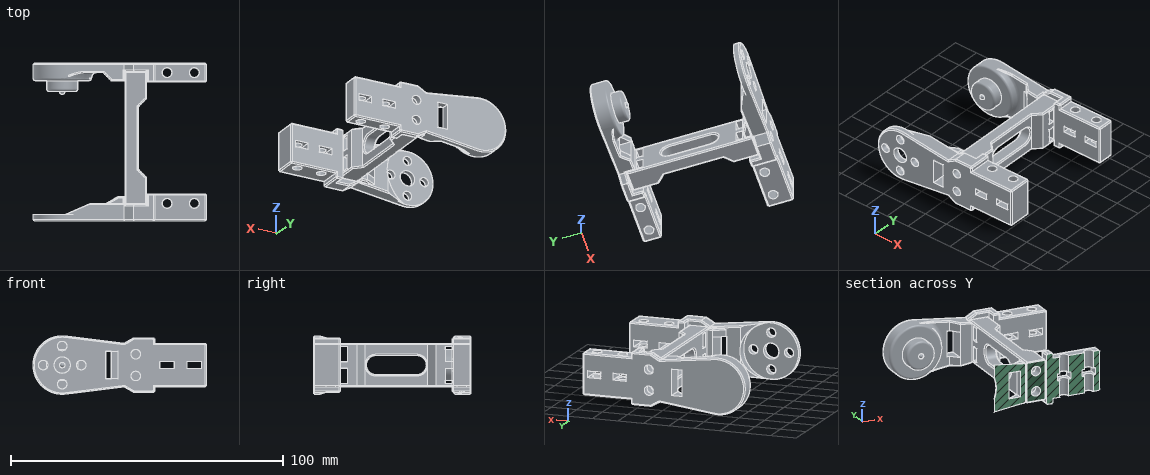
import cadquery as cq
import math

OVERALL_WIDTH = 58.0
OUTER_Y = OVERALL_WIDTH / 2
EDGE_CHAMFER = 0.5
SCREW_DIA = 3.5
NUT_THICKNESS = 2.5
TOLERANCE = 1e-6

PIVOT_RADIUS = 10.75
NECK_X = 22.75
NECK_HALF_HEIGHT = 8.0
SHOULDER_HALF_HEIGHT = 10.0
SHOULDER_ANGLE = 30.0
SHOULDER_END_X = 34.0
TAIL_END_X = 53.0
SHOULDER_RISE = SHOULDER_HALF_HEIGHT - NECK_HALF_HEIGHT
SHOULDER_START_X = NECK_X + SHOULDER_RISE / math.tan(math.radians(SHOULDER_ANGLE))

NECK_DISTANCE = math.hypot(NECK_X, NECK_HALF_HEIGHT)
FLANK_ANGLE = math.atan2(NECK_HALF_HEIGHT, NECK_X) + math.acos(PIVOT_RADIUS / NECK_DISTANCE)
FLANK_START_X = PIVOT_RADIUS * math.cos(FLANK_ANGLE)
FLANK_START_Z = PIVOT_RADIUS * math.sin(FLANK_ANGLE)
FLANK_TILT = math.pi / 2 - FLANK_ANGLE

FRONT_PLATE = 2.5
FRONT_WEB = 6.5
FRONT_BLOCK = 9.0
FRONT_FLOOR = 6.0
FRONT_TAIL = 10.0
BACK_WEB = 3.5
BACK_BLOCK = 6.5
BACK_FLOOR = 3.0
BACK_TAIL = 7.0

FRONT_RAMP_START_X = 1.3
FRONT_RAMP_END_X = 10.5
FRONT_BEVEL_ANGLE = 30.0
FRONT_BEVEL_END_X = 20.5
FRONT_BEVEL_RUN = (FRONT_BLOCK - FRONT_WEB) / math.tan(math.radians(FRONT_BEVEL_ANGLE))
FRONT_BEVEL_START_X = FRONT_BEVEL_END_X - FRONT_BEVEL_RUN
BACK_BEVEL_END_X = 18.0
BACK_BEVEL_START_X = BACK_BEVEL_END_X - (BACK_BLOCK - BACK_WEB)
FRONT_WINDOW_LENGTH = 4.5
BACK_WINDOW_LENGTH = 4.0
WINDOW_HEIGHT = 10.0
TAIL_SCREW_X = (38.5, 48.5)
TAIL_SCREW_INSET = 3.5
TAIL_NUT_WIDTH = 5.25

PIVOT_BORE_DIA = 6.0
HORN_SCREW_COUNT = 4
HORN_SCREW_RADIUS = 7.0
ROUNDING = 1.0
BOSS_DIA = 11.5
BOSS_LENGTH = 4.0
NUB_RADIUS = 1.0
CHAMFER_FADE_GAP = 0.05

POCKET_CLEARANCE = 0.25
BAR_START_X = NECK_X + POCKET_CLEARANCE
BAR_WIDTH = 8.0
BAR_WAIST_WIDTH = 5.0
BAR_HEIGHT = 2 * NECK_HALF_HEIGHT
BAR_END_X = BAR_START_X + BAR_WIDTH
BAR_FRONT_Y = FRONT_FLOOR - OUTER_Y
BAR_BACK_Y = OUTER_Y - BACK_FLOOR
BAR_MIDDLE_Y = (BAR_FRONT_Y + BAR_BACK_Y) / 2
BAR_HALF_LENGTH = (BAR_BACK_Y - BAR_FRONT_Y) / 2
BAR_WAIST_HALF_LENGTH = 11.5
BAR_OPENING_LENGTH = 22.0
BAR_OPENING_HEIGHT = 7.0
BAR_NUT_DEPTH = 4.0
BAR_NUT_WIDTH = 5.5
BAR_SCREWS = [(BAR_START_X + BAR_WIDTH / 2, z) for z in (-4.0, 4.0)]
POCKET_END_X = BAR_END_X + POCKET_CLEARANCE


def plan_prism(points, height=4 * PIVOT_RADIUS):
    """Upright prism on a plan outline of (X, Y) points, centred on the mid-plane."""
    return cq.Workplane("XY").polyline(points).close().extrude(height / 2, both=True)


def chamfer_where(body, wanted):
    """Chamfer every straight edge for which wanted(start, end) is true."""
    edges = [e for e in body.edges("%LINE").vals() if wanted(e.startPoint(), e.endPoint())]
    return body.newObject(edges).chamfer(EDGE_CHAMFER)


def on_one_flank(start, end):
    """True for an edge that stays above or below the mid-plane."""
    return start.z * end.z > 0



def root_blank(depth):
    """Round pivot end with straight flanks up to the neck."""
    return (
        cq.Workplane("XZ")
        .moveTo(FLANK_START_X, -FLANK_START_Z)
        .threePointArc((-PIVOT_RADIUS, 0), (FLANK_START_X, FLANK_START_Z))
        .lineTo(NECK_X, NECK_HALF_HEIGHT)
        .lineTo(NECK_X, -NECK_HALF_HEIGHT)
        .close()
        .extrude(-depth)
    )


def socket(floor, tail):
    """Shoulder and tail: everything beyond the neck, with the pocket for the bar end."""
    upper = [
        (NECK_X, NECK_HALF_HEIGHT),
        (SHOULDER_START_X, SHOULDER_HALF_HEIGHT),
        (SHOULDER_END_X, SHOULDER_HALF_HEIGHT),
        (SHOULDER_END_X, NECK_HALF_HEIGHT),
        (TAIL_END_X, NECK_HALF_HEIGHT),
    ]
    lower = [(x, -z) for x, z in reversed(upper)]
    outline = cq.Workplane("XZ").polyline(upper + lower).close().extrude(-tail)
    body = outline.intersect(plan_prism([
        (NECK_X, 0),
        (NECK_X, floor),
        (POCKET_END_X, floor),
        (POCKET_END_X, tail),
        (TAIL_END_X, tail),
        (TAIL_END_X, 0),
    ]))

    def is_rim(start, end):
        at_tail_end = min(start.x, end.x) > TAIL_END_X - TOLERANCE
        if min(start.y, end.y) > TOLERANCE:
            beyond_neck = max(start.x, end.x) > NECK_X + TOLERANCE
            return at_tail_end or (beyond_neck and on_one_flank(start, end))
        runs_inward = abs(start.y - end.y) > TOLERANCE
        raised = abs(start.z) > NECK_HALF_HEIGHT + TOLERANCE
        at_shoulder_end = raised and start.x > SHOULDER_END_X - TOLERANCE
        return runs_inward and (at_tail_end or at_shoulder_end)

    return chamfer_where(body, is_rim)


def join_root_and_socket(root, socket_body):
    """One arm with its outer face chamfered all around."""
    return root.union(socket_body).faces("<Y").edges().chamfer(EDGE_CHAMFER)


def cut_openings(arm, depth, window_end_x, window_length):
    """Window, bar screw holes, and the tail's screw holes with their nut windows."""
    window_x = window_end_x - window_length / 2
    nuts = [(x, 0) for x in TAIL_SCREW_X]
    window = cq.Workplane("XZ").center(window_x, 0).rect(window_length, WINDOW_HEIGHT)
    bar_screws = cq.Workplane("XZ").pushPoints(BAR_SCREWS).circle(SCREW_DIA / 2)
    nut_windows = cq.Workplane("XZ").pushPoints(nuts).rect(TAIL_NUT_WIDTH, NUT_THICKNESS)
    for opening in (window, bar_screws, nut_windows):
        arm = arm.cut(opening.extrude(-depth))
    tail_screws = (
        cq.Workplane("XY")
        .pushPoints([(x, depth - TAIL_SCREW_INSET) for x in TAIL_SCREW_X])
        .circle(SCREW_DIA / 2)
        .extrude(SHOULDER_HALF_HEIGHT, both=True)
    )
    return arm.cut(tail_screws)



def front_root():
    root = root_blank(FRONT_WEB).intersect(plan_prism([
        (-PIVOT_RADIUS - 1, 0),
        (-PIVOT_RADIUS - 1, FRONT_PLATE),
        (FRONT_RAMP_START_X, FRONT_PLATE),
        (FRONT_RAMP_END_X, FRONT_WEB),
        (NECK_X, FRONT_WEB),
        (NECK_X, 0),
    ]))

    def is_web_rim(start, end):
        return on_one_flank(start, end) and min(start.y, end.y) > FRONT_WEB - TOLERANCE

    disc_clearance = (
        cq.Workplane("XZ", origin=(0, FRONT_PLATE, 0)).circle(PIVOT_RADIUS).extrude(-FRONT_WEB)
    )
    return chamfer_where(root, is_web_rim).cut(disc_clearance)


def front_block():
    """Bevelled step on the inside of the web that backs the bar, as tall as the bar."""
    block = plan_prism([
        (FRONT_BEVEL_START_X, FRONT_WEB),
        (FRONT_BEVEL_END_X, FRONT_BLOCK),
        (NECK_X, FRONT_BLOCK),
        (NECK_X, FRONT_WEB),
    ], BAR_HEIGHT)

    def is_rim(start, end):
        return on_one_flank(start, end) and max(start.y, end.y) > FRONT_WEB + TOLERANCE

    return chamfer_where(block, is_rim)


def front_arm():
    arm = join_root_and_socket(front_root(), socket(FRONT_FLOOR, FRONT_TAIL)).union(front_block())
    arm = cut_openings(arm, FRONT_TAIL, FRONT_BEVEL_END_X, FRONT_WINDOW_LENGTH)
    horn_screws = (
        cq.Workplane("XZ")
        .polarArray(HORN_SCREW_RADIUS, 0, 360, HORN_SCREW_COUNT)
        .circle(SCREW_DIA / 2)
        .extrude(-FRONT_PLATE)
    )
    bore = cq.Workplane("XZ").circle(PIVOT_BORE_DIA / 2).extrude(-FRONT_PLATE)
    return arm.cut(horn_screws).cut(bore).translate((0, -OUTER_Y, 0))



BLEND_Y = BACK_BLOCK - ROUNDING
DISC_BLEND = BLEND_Y - BACK_WEB
BLEND_FOOT_RADIUS = PIVOT_RADIUS + DISC_BLEND


def disc_ring_cutter():
    """Revolved space around the disc: rounds its rim and leaves a concave blend at its foot."""
    arc_middle = math.sin(math.radians(45))
    rounding_middle = (
        PIVOT_RADIUS - ROUNDING + ROUNDING * arc_middle,
        BLEND_Y + ROUNDING * arc_middle,
    )
    blend_middle = (BLEND_FOOT_RADIUS - DISC_BLEND * arc_middle, BLEND_Y - DISC_BLEND * arc_middle)
    return (
        cq.Workplane("XY")
        .moveTo(PIVOT_RADIUS - ROUNDING, BACK_BLOCK)
        .threePointArc(rounding_middle, (PIVOT_RADIUS, BLEND_Y))
        .threePointArc(blend_middle, (BLEND_FOOT_RADIUS, BACK_WEB))
        .lineTo(BACK_BEVEL_START_X, BACK_WEB)
        .lineTo(BACK_BEVEL_START_X, BACK_BLOCK)
        .close()
        .revolve(360, (0, 0, 0), (0, 1, 0))
    )


def web_recess():
    """Space over the web up to the bevelled block, leaving the disc's surroundings standing."""
    space = plan_prism([
        (PIVOT_RADIUS, BACK_WEB),
        (BACK_BEVEL_START_X, BACK_WEB),
        (BACK_BEVEL_END_X, BACK_BLOCK),
        (PIVOT_RADIUS, BACK_BLOCK),
    ])
    kept_radius = (BLEND_FOOT_RADIUS + BACK_BEVEL_START_X) / 2
    return space.cut(cq.Workplane("XZ").circle(kept_radius).extrude(-BACK_BLOCK))


def flank_blend_point(gap):
    """Plan point where the blend, at this distance outside the disc, meets the flank."""
    along_flank = math.sqrt((PIVOT_RADIUS + gap) ** 2 - PIVOT_RADIUS ** 2)
    drop = math.sqrt(DISC_BLEND ** 2 - (DISC_BLEND - gap) ** 2)
    return (FLANK_START_X + along_flank * math.cos(FLANK_TILT), BLEND_Y - drop)


def back_rim_slivers():
    """Material that the inner rim chamfer removes along both flanks and down the pocket wall.

    It fades out at the disc and meets the chamfer of the pocket floor at the neck.
    """
    base_y = BACK_FLOOR - EDGE_CHAMFER
    sharp = root_blank(BACK_BLOCK).intersect(
        cq.Workplane("XY")
        .moveTo(FLANK_START_X, base_y)
        .lineTo(*flank_blend_point(0))
        .threePointArc(flank_blend_point(DISC_BLEND / 4), flank_blend_point(DISC_BLEND))
        .lineTo(BACK_BEVEL_START_X, BACK_WEB)
        .lineTo(BACK_BEVEL_END_X, BACK_BLOCK)
        .lineTo(NECK_X, BACK_BLOCK)
        .lineTo(NECK_X, base_y)
        .close()
        .extrude(2 * PIVOT_RADIUS, both=True)
    )

    def is_inner_rim(edge):
        start = edge.startPoint()
        end = edge.endPoint()
        inside = max(start.y, end.y) > BACK_WEB - TOLERANCE
        beyond_disc = max(start.x, end.x) > FLANK_START_X + TOLERANCE
        return inside and beyond_disc and on_one_flank(start, end)

    rims = [e for e in sharp.edges().vals() if is_inner_rim(e)]
    slivers = sharp.cut(sharp.newObject(rims).chamfer(EDGE_CHAMFER))
    disc = cq.Workplane("XZ").circle(PIVOT_RADIUS + CHAMFER_FADE_GAP).extrude(-BACK_BLOCK)
    return slivers.cut(disc)


def pivot_boss():
    """Rounded boss on the disc with a small spherical nub at its centre."""
    boss = (
        cq.Workplane("XZ", origin=(0, BACK_BLOCK, 0))
        .circle(BOSS_DIA / 2)
        .extrude(-BOSS_LENGTH)
        .faces(">Y")
        .edges()
        .fillet(ROUNDING)
    )
    nub = cq.Workplane("XY").sphere(NUB_RADIUS).translate((0, BACK_BLOCK + BOSS_LENGTH, 0))
    return boss.union(nub)


def back_arm():
    root = root_blank(BACK_BLOCK).cut(web_recess())
    arm = join_root_and_socket(root, socket(BACK_FLOOR, BACK_TAIL))
    arm = arm.cut(disc_ring_cutter()).cut(back_rim_slivers()).union(pivot_boss())
    arm = cut_openings(arm, BACK_TAIL, BACK_BEVEL_END_X, BACK_WINDOW_LENGTH)
    return arm.mirror("XZ").translate((0, OUTER_Y, 0))



def bar_blank():
    waist_x = BAR_START_X + BAR_WAIST_WIDTH
    thick_start = BAR_WAIST_HALF_LENGTH + BAR_WIDTH - BAR_WAIST_WIDTH
    bar = plan_prism([
        (BAR_START_X, BAR_FRONT_Y),
        (BAR_START_X, BAR_BACK_Y),
        (BAR_END_X, BAR_BACK_Y),
        (BAR_END_X, BAR_MIDDLE_Y + thick_start),
        (waist_x, BAR_MIDDLE_Y + BAR_WAIST_HALF_LENGTH),
        (waist_x, BAR_MIDDLE_Y - BAR_WAIST_HALF_LENGTH),
        (BAR_END_X, BAR_MIDDLE_Y - thick_start),
        (BAR_END_X, BAR_FRONT_Y),
    ], BAR_HEIGHT)

    def is_outer_edge(start, end):
        at_bar_end = abs(start.y - BAR_MIDDLE_Y) > BAR_HALF_LENGTH - TOLERANCE
        return on_one_flank(start, end) or at_bar_end

    return chamfer_where(bar, is_outer_edge)


def bar_opening():
    """Stadium-shaped hole through the waist, flared by a chamfer at both mouths."""
    hole = (
        cq.Workplane("YZ", origin=(BAR_START_X, BAR_MIDDLE_Y, 0))
        .slot2D(BAR_OPENING_LENGTH, BAR_OPENING_HEIGHT)
        .extrude(BAR_WAIST_WIDTH)
    )
    flare_slot = (BAR_OPENING_LENGTH + 2 * EDGE_CHAMFER, BAR_OPENING_HEIGHT + 2 * EDGE_CHAMFER)
    flare = (
        cq.Workplane("YZ", origin=(BAR_START_X, BAR_MIDDLE_Y, 0))
        .slot2D(*flare_slot)
        .extrude(EDGE_CHAMFER, taper=45)
    )
    far_flare = flare.mirror("YZ", (BAR_START_X + BAR_WAIST_WIDTH / 2, 0, 0))
    return hole.union(flare).union(far_flare)


def crossbar():
    bar = bar_blank().cut(bar_opening())
    for end_y, inward in ((BAR_FRONT_Y, 1), (BAR_BACK_Y, -1)):
        nut_y = end_y + inward * (BAR_NUT_DEPTH + NUT_THICKNESS / 2)
        nut_windows = (
            cq.Workplane("YZ", origin=(BAR_START_X, 0, 0))
            .pushPoints([(nut_y, z) for _, z in BAR_SCREWS])
            .rect(NUT_THICKNESS, BAR_NUT_WIDTH)
            .extrude(BAR_WIDTH)
        )
        screw_holes = (
            cq.Workplane("XZ", origin=(0, end_y, 0))
            .pushPoints(BAR_SCREWS)
            .circle(SCREW_DIA / 2)
            .extrude(-inward * BAR_NUT_DEPTH)
        )
        bar = bar.cut(nut_windows).cut(screw_holes)
    return bar


front = front_arm()
back = back_arm()
bar = crossbar()
result = cq.Compound.makeCompound([front.val(), back.val(), bar.val()])